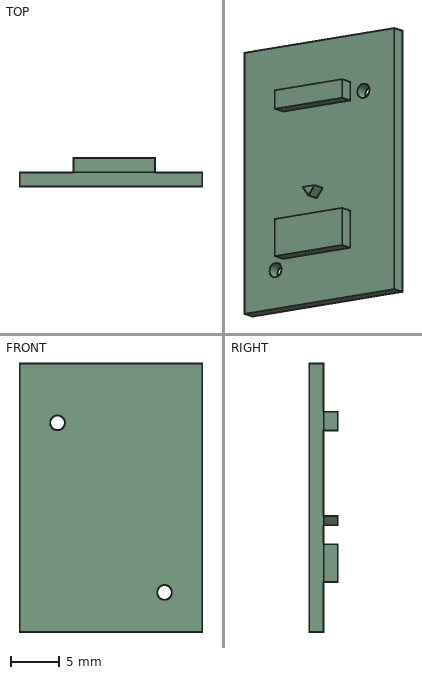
import cadquery as cq

plate_width = 19.0
plate_height = 28
total_depth = 3.0
plate_thickness = total_depth / 2
block_depth = total_depth - plate_thickness

hole_diameter = 1.5
hole_centres = [(-5.57, 7.8), (5.57, -9.85)]

block_left = -3.92
block_width = 8.5
block_right = block_left + block_width
upper_block_bottom = 7.0
upper_block_height = 2.0
lower_block_bottom = -8.8
lower_block_height = 3.98

marker_tip = -2.88
marker_height = 1.0
marker_width = 1.5
marker_centre = block_left + block_width / 2


def back_prism(points):
    """Extrude an XZ outline backward (+Y) from the back face of the plate."""
    outline = cq.Workplane("XZ", origin=(0, plate_thickness, 0)).polyline(points).close()
    return outline.extrude(-block_depth)


def back_block(bottom, height):
    top = bottom + height
    return back_prism([
        (block_left, bottom),
        (block_right, bottom),
        (block_right, top),
        (block_left, top),
    ])


def triangular_marker():
    top = marker_tip + marker_height
    return back_prism([
        (marker_centre, marker_tip),
        (marker_centre + marker_width / 2, top),
        (marker_centre - marker_width / 2, top),
    ])


plate = (
    cq.Workplane("XZ")
    .rect(plate_width, plate_height)
    .pushPoints(hole_centres)
    .circle(hole_diameter / 2)
    .extrude(-plate_thickness)
)

result = (
    plate
    .union(back_block(upper_block_bottom, upper_block_height))
    .union(back_block(lower_block_bottom, lower_block_height))
    .union(triangular_marker())
)